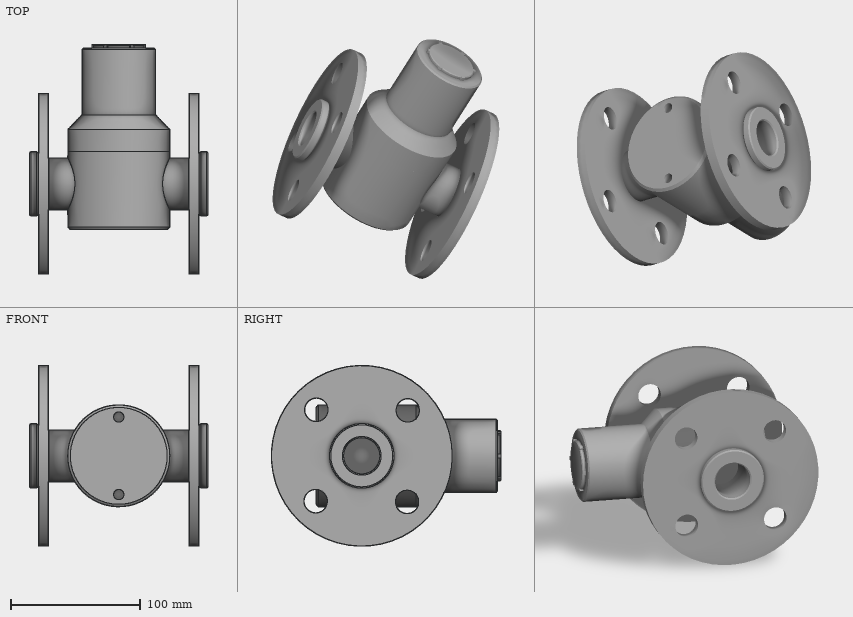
import cadquery as cq
import math


overall_length = 138.2
collar_diameter = 50.0
collar_front_chamfer = 1.0
collar_back_chamfer = 1.5
pipe_diameter = 40.3
pipe_end_x = 30.0
hub_diameter = 40.35
hub_overhang = 0.5
bore_diameter = 28.0
bore_chamfer = 1.0

flange_diameter = 140.0
flange_thickness = 7.6
flange_outer_x = 62.0
flange_bore = 41.0
bolt_circle = 100.0
bolt_hole_diameter = 18.0
bolt_count = 4
bolt_turn = 44.6

housing_diameter = 79.0
housing_front_y = -35.5
housing_back_y = 25.0
housing_chamfer = 2.0
spanner_hole_diameter = 7.94
spanner_hole_spacing = 60.0
spanner_hole_depth = 10.0

bonnet_diameter = housing_diameter
bonnet_shoulder_y = 42.0
neck_diameter = 57.0
neck_start_y = 53.4
neck_end_y = 105.0
neck_chamfer = 1.1

plug_height = 2.8
plug_rim_chamfer = 0.7
plug_diameter = 39.0
tooth_tip_diameter = 41.5
tooth_width = 3.2
tooth_count = 6

nozzle_end_x = overall_length / 2
hub_end_x = flange_outer_x - flange_thickness - hub_overhang

SIDES = (-1, 1)


def cylinder_x(diameter, start_x, end_x):
    """Cylinder on the X axis between two places."""
    return cq.Workplane("YZ", origin=(start_x, 0, 0)).circle(diameter / 2).extrude(end_x - start_x)


def cylinder_y(diameter, start_y, end_y):
    """Cylinder on the Y axis between two places."""
    plane = cq.Plane(origin=(0, start_y, 0), xDir=(1, 0, 0), normal=(0, 1, 0))
    return cq.Workplane(plane).circle(diameter / 2).extrude(end_y - start_y)


def make_housing():
    """Main cylinder with a flat-bottomed pipe socket on each side and two spanner holes in front."""
    housing = cylinder_y(housing_diameter, housing_front_y, housing_back_y)
    housing = housing.faces("<Y").chamfer(housing_chamfer)
    for side in SIDES:
        housing = housing.cut(cylinder_x(pipe_diameter, side * pipe_end_x, side * housing_diameter / 2))
        hole = cylinder_y(spanner_hole_diameter, housing_front_y, housing_front_y + spanner_hole_depth)
        housing = housing.cut(hole.translate((0, 0, side * spanner_hole_spacing / 2)))
    return housing


def make_bonnet():
    """Turned cover that tapers from the housing down to a long neck."""
    bonnet_radius = bonnet_diameter / 2
    neck_radius = neck_diameter / 2
    half_profile = (
        cq.Workplane("XY")
        .moveTo(0, housing_back_y)
        .lineTo(bonnet_radius, housing_back_y)
        .lineTo(bonnet_radius, bonnet_shoulder_y)
        .lineTo(neck_radius, neck_start_y)
        .lineTo(neck_radius, neck_end_y)
        .lineTo(0, neck_end_y)
        .close()
    )
    bonnet = half_profile.revolve(360, (0, 0, 0), (0, 1, 0))
    return bonnet.faces(">Y").chamfer(neck_chamfer)


def make_plug():
    """Flat disc with square teeth around its rim."""
    plug_top_y = neck_end_y + plug_height
    plug = cylinder_y(plug_diameter, neck_end_y, plug_top_y).faces(">Y").chamfer(plug_rim_chamfer)
    tooth_blank = cylinder_y(tooth_tip_diameter, neck_end_y, plug_top_y)
    tip_radius = tooth_tip_diameter / 2
    root_radius = plug_diameter / 2 - 2 * plug_rim_chamfer
    for index in range(tooth_count):
        bar = (
            cq.Workplane("XY")
            .box(tip_radius - root_radius, plug_height, tooth_width, centered=(False, False, True))
            .translate((root_radius, neck_end_y, 0))
            .rotate((0, 0, 0), (0, 1, 0), index * 360 / tooth_count)
        )
        plug = plug.union(bar.intersect(tooth_blank))
    return plug


def make_nozzle(side):
    """Collar, hub and pipe in one piece: they carry one flange and are bored through."""
    collar = cylinder_x(collar_diameter, flange_outer_x, nozzle_end_x)
    collar = collar.faces(">X").chamfer(collar_front_chamfer)
    collar = collar.faces("<X").chamfer(collar_back_chamfer)
    hub = cylinder_x(hub_diameter, hub_end_x, flange_outer_x)
    pipe = cylinder_x(pipe_diameter, pipe_end_x, hub_end_x)
    bore = cylinder_x(bore_diameter, pipe_end_x, nozzle_end_x)
    nozzle = collar.union(hub).union(pipe).cut(bore)
    bore_rim = cq.selectors.RadiusNthSelector(0)
    nozzle = nozzle.faces(">X").edges(bore_rim).chamfer(bore_chamfer)
    return nozzle if side > 0 else nozzle.mirror("YZ")


def make_flange(side):
    """Flat ring, turned slightly from square, with four bolt holes."""
    flange_inner_x = flange_outer_x - flange_thickness
    flange = cylinder_x(flange_diameter, flange_inner_x, flange_outer_x)
    flange = flange.cut(cylinder_x(flange_bore, flange_inner_x, flange_outer_x))
    for index in range(bolt_count):
        angle = math.radians(bolt_turn + index * 360 / bolt_count)
        hole_y = bolt_circle / 2 * math.cos(angle)
        hole_z = bolt_circle / 2 * math.sin(angle)
        hole = cylinder_x(bolt_hole_diameter, flange_inner_x, flange_outer_x)
        flange = flange.cut(hole.translate((0, hole_y, hole_z)))
    return flange if side > 0 else flange.mirror("YZ")


housing = make_housing()
bonnet = make_bonnet()
plug = make_plug()
nozzles = [make_nozzle(side) for side in SIDES]
flanges = [make_flange(side) for side in SIDES]

bodies = [housing, bonnet, plug, *nozzles, *flanges]
result = cq.Compound.makeCompound([body.val() for body in bodies])